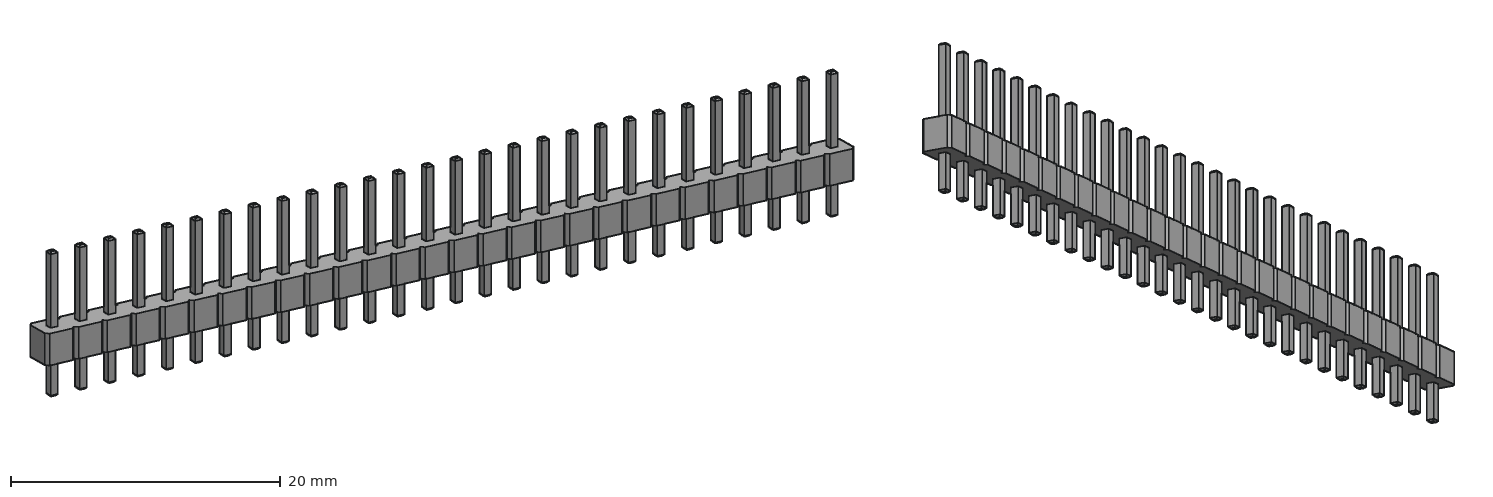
import cadquery as cq

row_length = 71.1
pin_count = 28
pitch = row_length / pin_count

body_width = pitch
body_height = body_width
corner_chamfer = 0.255

pin_width = 0.65
pin_length = 11.5
pin_below_body = 3.0
pin_tip_chamfer = 0.15

pin_positions = [(0, (index - (pin_count - 1) / 2) * pitch) for index in range(pin_count)]


def make_cell():
    """Body block around one pin, standing on Z = 0."""
    block = cq.Workplane("XY").box(body_width, pitch, body_height, centered=(True, True, False))
    return block.edges("|Z").chamfer(corner_chamfer).val()


def make_pins():
    """All pins, bevelled at both ends, reaching out below and above the body."""
    return (
        cq.Workplane("XY", origin=(0, 0, -pin_below_body))
        .pushPoints(pin_positions)
        .rect(pin_width, pin_width)
        .extrude(pin_length)
        .faces("<Z or >Z")
        .chamfer(pin_tip_chamfer)
    )


def make_body():
    """Row of cells joined at their end faces, with V notches between them."""
    cell = make_cell()
    return (
        cq.Workplane("XY")
        .pushPoints(pin_positions)
        .eachpoint(lambda place: cell.moved(place), combine=True)
    )


result = make_body().union(make_pins()).clean()